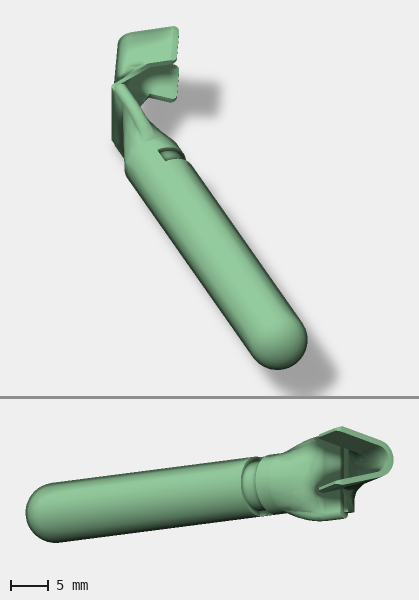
import cadquery as cq
import math


BARREL_RADIUS = 3.98
BARREL_START = 10.1
BARREL_LENGTH = 37.55

GROOVE_START = 12.25
GROOVE_WIDTH = 2.4
GROOVE_SIDE_Y = -0.25
GROOVE_FLOOR_CENTER_Y = 0.35
GROOVE_FLOOR_RADIUS = 3.25

NECK_HEIGHT = 11.56
RAIL_RADIUS = 0.85
RAIL_START = 0.7
RAIL_END = 3.3
PLATE_THICKNESS = RAIL_RADIUS
RAIL_CENTER_Z = NECK_HEIGHT / 2 - RAIL_RADIUS
PLATE_HEIGHT = 2 * RAIL_CENTER_Z

SHOULDER_CREST_ANGLE = math.radians(15)
SHOULDER_BULGE = 0.46

CLIP_ANGLE = 30.0
FLARE_LENGTH = 6.2
FLARE_EDGE_DEPTH = 4.5
FLARE_CREASE_Z = 2.73
CHANNEL_LENGTH = 6.43
CHANNEL_RADIUS = 2.55
CHANNEL_SHEET = 0.75
CHANNEL_INNER_RADIUS = CHANNEL_RADIUS - CHANNEL_SHEET
LEG_ANGLE = math.radians(15)
LEG_DEPTH = 8.18
BEVEL_LENGTH = 0.75
TIP_CORNER_RADIUS = 0.75


def barrel():
    """Cylinder along X that ends in a hemisphere."""
    end = BARREL_START + BARREL_LENGTH
    profile = (
        cq.Workplane("XY")
        .moveTo(BARREL_START, 0)
        .lineTo(BARREL_START, BARREL_RADIUS)
        .lineTo(end, BARREL_RADIUS)
        .radiusArc((end + BARREL_RADIUS, 0), BARREL_RADIUS)
        .close()
    )
    return profile.revolve(360, (0, 0, 0), (1, 0, 0))


def groove():
    """Cutter for everything outside the rounded groove floor, on the +Y side."""
    reach = 2 * BARREL_RADIUS
    flat_length = GROOVE_FLOOR_CENTER_Y - GROOVE_SIDE_Y
    plane = cq.Workplane("YZ", origin=(GROOVE_START, 0, 0))
    outside = plane.center(GROOVE_SIDE_Y + reach / 2, 0).rect(reach, 2 * reach).extrude(GROOVE_WIDTH)
    floor = plane.center(GROOVE_FLOOR_CENTER_Y, 0).circle(GROOVE_FLOOR_RADIUS).extrude(GROOVE_WIDTH)
    flats = (
        plane.center(GROOVE_FLOOR_CENTER_Y - flat_length / 2, 0)
        .rect(flat_length, 2 * GROOVE_FLOOR_RADIUS)
        .extrude(GROOVE_WIDTH)
    )
    return outside.cut(floor).cut(flats)


def oblong_section(plane, corner, crest_z, side_y):
    """Outline with an arc over each crest and sides that are straight or bowed out to side_y."""
    y, z = corner

    def side(outline, sign):
        end = (sign * y, sign * z)
        if side_y > y:
            return outline.threePointArc((sign * side_y, 0), end)
        return outline.lineTo(*end)

    outline = side(plane.moveTo(y, -z), 1)
    outline = outline.threePointArc((0, crest_z), (-y, z))
    outline = side(outline, -1)
    return outline.threePointArc((0, -crest_z), (y, -z)).close()


def rail_section(plane):
    """Round-ended section through the neck and both rails."""
    return oblong_section(plane, (RAIL_RADIUS, RAIL_CENTER_Z), NECK_HEIGHT / 2, RAIL_RADIUS)


def shoulder():
    """Loft from the railed neck to the barrel, with crests that bulge at mid length."""
    half_length = (BARREL_START - RAIL_END) / 2
    corner_y = BARREL_RADIUS * math.sin(SHOULDER_CREST_ANGLE)
    corner_z = BARREL_RADIUS * math.cos(SHOULDER_CREST_ANGLE)
    middle_corner = ((RAIL_RADIUS + corner_y) / 2, (RAIL_CENTER_Z + corner_z) / 2)
    middle_crest = (NECK_HEIGHT / 2 + BARREL_RADIUS) / 2 + SHOULDER_BULGE
    middle_side = (RAIL_RADIUS + BARREL_RADIUS) / 2

    sections = rail_section(cq.Workplane("YZ", origin=(RAIL_END, 0, 0)))
    sections = sections.workplane(offset=half_length)
    sections = oblong_section(sections, middle_corner, middle_crest, middle_side)
    sections = sections.workplane(offset=half_length)
    sections = oblong_section(sections, (corner_y, corner_z), BARREL_RADIUS, BARREL_RADIUS)
    return sections.loft()


def neck():
    """Flat plate on the -Y half, thickened to a round-ended bar where the rails run."""
    plate = cq.Workplane("XY").box(RAIL_END, PLATE_THICKNESS, PLATE_HEIGHT, centered=(False, False, True))
    plate = plate.translate((0, -PLATE_THICKNESS, 0))
    rails = rail_section(cq.Workplane("YZ", origin=(RAIL_START, 0, 0))).extrude(RAIL_END - RAIL_START)
    return plate.union(rails)


def bend():
    """Wedge of a cylinder that joins the plate to the clip."""
    end_face = cq.Workplane("YZ").center(-PLATE_THICKNESS / 2, 0).rect(PLATE_THICKNESS, PLATE_HEIGHT)
    return end_face.revolve(CLIP_ANGLE, (PLATE_THICKNESS / 2, 0, 0), (PLATE_THICKNESS / 2, -1, 0))


def clip_plane(distance):
    """Plane across the clip at a distance from the bend: local x is depth, local y is Z."""
    turn = math.radians(CLIP_ANGLE)
    along = cq.Vector(-math.cos(turn), math.sin(turn), 0)
    depth = cq.Vector(math.sin(turn), math.cos(turn), 0)
    outside = along * distance - depth * PLATE_THICKNESS
    return cq.Workplane(cq.Plane(origin=outside, xDir=depth, normal=along * -1))


def leg_point(radius, depth):
    """Point at a depth on the leg line that is tangent to the U arc of the given radius."""
    past_center = depth - CHANNEL_RADIUS
    return (depth, radius / math.cos(LEG_ANGLE) + past_center * math.tan(LEG_ANGLE))


def leg_start(radius):
    """Point where the U arc of the given radius runs into its leg."""
    return leg_point(radius, CHANNEL_RADIUS - radius * math.sin(LEG_ANGLE))


def u_section(distance, leg_edge):
    """U outline; leg_edge lists the points from the outer leg line round to the inner one."""
    outer = leg_start(CHANNEL_RADIUS)
    inner = leg_start(CHANNEL_INNER_RADIUS)

    def mirrored(point):
        return (point[0], -point[1])

    outline = clip_plane(distance).moveTo(*mirrored(outer)).threePointArc((0, 0), outer)
    for point in leg_edge + [inner]:
        outline = outline.lineTo(*point)
    outline = outline.threePointArc((CHANNEL_SHEET, 0), mirrored(inner))
    for point in reversed(leg_edge):
        outline = outline.lineTo(*mirrored(point))
    return outline.close()


def flare():
    """Ruled loft from the flat end of the bend to a U with short legs."""
    crease = FLARE_CREASE_Z
    edge = PLATE_HEIGHT / 2
    flat_points = [
        (0, -crease), (0, crease), (0, edge), (PLATE_THICKNESS, edge),
        (PLATE_THICKNESS, crease), (PLATE_THICKNESS, -crease), (PLATE_THICKNESS, -edge), (0, -edge),
    ]
    flat_end = clip_plane(0).polyline(flat_points).close()

    outer_depth, outer_z = leg_point(CHANNEL_RADIUS, FLARE_EDGE_DEPTH)
    inner_depth = outer_depth + CHANNEL_SHEET * math.sin(LEG_ANGLE)
    inner_edge = leg_point(CHANNEL_INNER_RADIUS, inner_depth)
    u_end = u_section(FLARE_LENGTH, [(outer_depth, outer_z), inner_edge])
    return cq.Workplane(cq.Solid.makeLoft([flat_end.val(), u_end.val()], True))


def channel():
    """U channel whose leg tips are beveled on the outside and have rounded corners."""
    bevel_start = leg_point(CHANNEL_RADIUS, LEG_DEPTH - BEVEL_LENGTH)
    outer_tip = (LEG_DEPTH, bevel_start[1] - BEVEL_LENGTH * math.tan(LEG_ANGLE))
    inner_tip = leg_point(CHANNEL_INNER_RADIUS, LEG_DEPTH)
    body = u_section(FLARE_LENGTH, [bevel_start, outer_tip, inner_tip]).extrude(-CHANNEL_LENGTH)

    middle = clip_plane(FLARE_LENGTH + CHANNEL_LENGTH / 2).plane
    tip_z = (outer_tip[1] + inner_tip[1]) / 2
    corners = [
        middle.toWorldCoords((LEG_DEPTH, z_sign * tip_z, end_sign * CHANNEL_LENGTH / 2))
        for z_sign in (-1, 1)
        for end_sign in (-1, 1)
    ]
    for corner in corners:
        body = body.edges(cq.NearestToPointSelector(corner.toTuple())).fillet(TIP_CORNER_RADIUS)
    return body


result = barrel().cut(groove())
for part in (shoulder(), neck(), bend(), flare(), channel()):
    result = result.union(part)